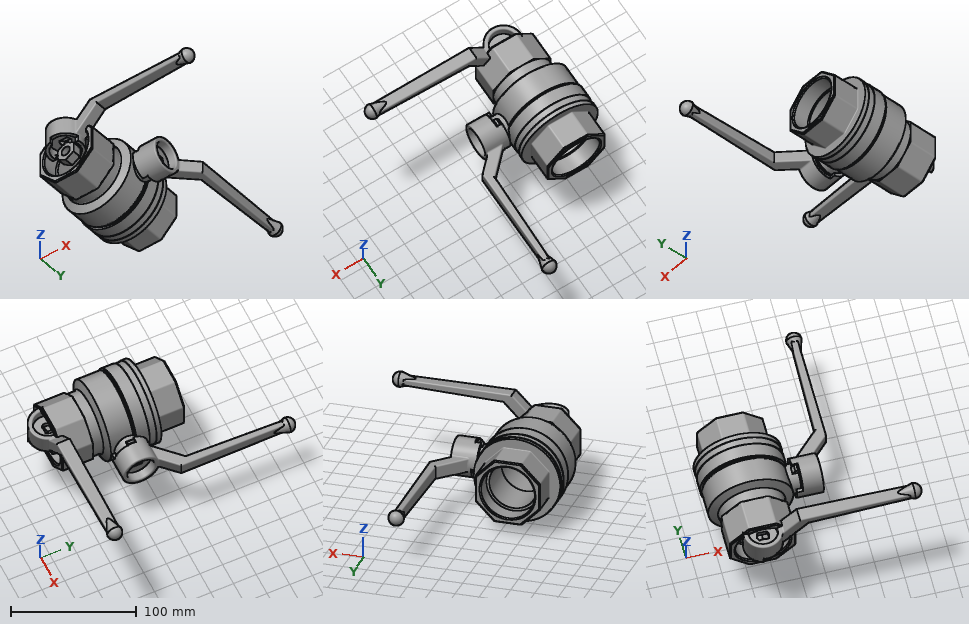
import cadquery as cq
import math


half_length = 54.0
octagon_width = 54.0
octagon_corner_radius = 2.4
octagon_end_chamfer = 1.0
root_radius = 0.8
bore_dia = 40.0
thread_dia = 44.8
thread_depth = 15.0
thread_mouth_dia = 47.0
barrel_dia = 70.0
flange_dia = 72.0
flange_waist_dia = 71.0
joint_groove_dia = 68.0

body_octagon_end = -26.8
cone_start = -18.0
cone_end = -14.8
groove_start = 5.8
joint_plane = 6.8
groove_end = 7.5
waist_start = 19.0
waist_end = 25.0
flange_end = 29.2

neck_dia = 24.0
neck_root = 24.0
neck_end = 42.2
tab_start = 37.2
tab_slope_end = 39.5
tab_end = 42.0
tab_width = 6.0
tab_height = 15.2

spindle_shoulder_dia = 22.0
spindle_end_dia = 10.0
spindle_end_flats = 6.8

hub_dia = 32.0
hub_height = 22.0
hub_edge_radius = 1.0
hub_seat = 38.0
neck_recess_dia = 26.0
neck_recess_depth = 10.0
nut_recess_dia = 24.0
nut_recess_depth = 8.0
nut_recess_edge_radius = 1.2
stop_notch_depth = 5.0
stop_notch_inset = 3.4
arm_root_width = 12.0
arm_tip_width = 10.0
arm_edge_radius = 1.2
arm_foot_radius = 1.5
arm_top = 35.0
arm_root_low = 7.4
arm_elbow_low = 27.5
arm_tip_low = 29.5
knob_radius = 6.4
knob_reach = 123.5
knob_height = 32.5
knob_cone_length = 12.8
knob_cone_tip_radius = 2.4

nut_width = 16.0
nut_hole_dia = 8.4
nut_thickness = 8.4


def y_cylinder(diameter, start, end):
    """Round bar on the valve axis between two places along Y."""
    plane = cq.Plane(origin=(0, start, 0), xDir=(1, 0, 0), normal=(0, 1, 0))
    return cq.Workplane(plane).circle(diameter / 2).extrude(end - start)


def octagon_end(length):
    """Octagonal pipe end that runs from y = -half_length towards the middle, edges broken."""
    plane = cq.Plane(origin=(0, -half_length, 0), xDir=(1, 0, 0), normal=(0, 1, 0))
    half_face_angle = 360 / 16
    across_corners = octagon_width / math.cos(math.pi / 8)
    return (
        cq.Workplane(plane)
        .polygon(8, across_corners)
        .extrude(length)
        .rotate((0, 0, 0), (0, 1, 0), half_face_angle)
        .edges("|Y")
        .fillet(octagon_corner_radius)
        .faces("<Y")
        .chamfer(octagon_end_chamfer)
    )


def pipe_bore():
    """Bore through the whole valve with a thread bore and a flared mouth at each end."""
    mouth_depth = (thread_mouth_dia - thread_dia) / 2
    shoulder = half_length - thread_depth
    profile = [
        (0, -half_length),
        (thread_mouth_dia / 2, -half_length),
        (thread_dia / 2, -half_length + mouth_depth),
        (thread_dia / 2, -shoulder),
        (bore_dia / 2, -shoulder),
        (bore_dia / 2, 0),
        (0, 0),
    ]
    half = cq.Workplane("XY").polyline(profile).close().revolve(360, (0, 0, 0), (0, 1, 0))
    return half.union(half.mirror("XZ"))


def neck():
    """Neck round the spindle with the tab that stops the lever."""
    stub = cq.Workplane("YZ").workplane(offset=neck_root).circle(neck_dia / 2).extrude(neck_end - neck_root)
    tab_profile = [
        (tab_start, 0),
        (tab_start, neck_dia / 2),
        (tab_slope_end, tab_height),
        (tab_end, tab_height),
        (tab_end, 0),
    ]
    tab = cq.Workplane("XZ").polyline(tab_profile).close().extrude(tab_width / 2, both=True)
    return stub.union(tab)


def valve_body():
    """Turned barrel with its octagonal pipe end and spindle neck, bored and seated for the adapter."""
    collar_radius = octagon_width / 2
    arc_sag = root_radius * (1 - math.sqrt(0.5))
    barrel = (
        cq.Workplane("XY")
        .moveTo(0, body_octagon_end)
        .lineTo(collar_radius, body_octagon_end)
        .lineTo(collar_radius, cone_start - root_radius)
        .threePointArc(
            (collar_radius + arc_sag, cone_start - arc_sag),
            (collar_radius + root_radius, cone_start),
        )
        .lineTo(barrel_dia / 2, cone_end)
        .lineTo(barrel_dia / 2, groove_start)
        .lineTo(joint_groove_dia / 2, groove_start)
        .lineTo(joint_groove_dia / 2, joint_plane)
        .lineTo(0, joint_plane)
        .close()
        .revolve(360, (0, 0, 0), (0, 1, 0))
    )
    end = octagon_end(half_length + body_octagon_end)
    return barrel.union(end).union(neck()).cut(adapter_blank()).cut(pipe_bore())


def adapter_blank():
    """Solid end adapter: a waisted flange against the barrel and the second octagonal pipe end."""
    flange = y_cylinder(joint_groove_dia, joint_plane, groove_end)
    for diameter, start, end in (
        (flange_dia, groove_end, waist_start),
        (flange_waist_dia, waist_start, waist_end),
        (flange_dia, waist_end, flange_end),
    ):
        flange = flange.union(y_cylinder(diameter, start, end))
    blank = flange.union(octagon_end(half_length - flange_end).mirror("XZ"))
    reach = octagon_width
    near, far = flange_end - root_radius / 2, flange_end + root_radius / 2
    flange_face = cq.selectors.BoxSelector((-reach, near, -reach), (reach, far, reach))
    flange_rim = cq.selectors.BoxSelector((-2, near, -2), (2, far, 2))
    return blank.edges(flange_face - flange_rim).fillet(root_radius)


def end_adapter():
    """End adapter with its share of the pipe bore."""
    return adapter_blank().cut(pipe_bore())


def lever_arm():
    """Cranked arm along local X, tapered towards the knob, with rounded long edges."""
    hub_radius = hub_dia / 2
    elbow_top = hub_radius + arm_top - hub_height
    elbow_low = hub_radius + arm_elbow_low - arm_root_low
    overlap = 3.0
    start = hub_radius - overlap
    side_profile = [
        (start, hub_height - overlap),
        (elbow_top, arm_top),
        (knob_reach, arm_top),
        (knob_reach, arm_tip_low),
        (elbow_low, arm_elbow_low),
        (start, arm_root_low - overlap),
    ]
    plan = [
        (start, -arm_root_width / 2),
        (knob_reach, -arm_tip_width / 2),
        (knob_reach, arm_tip_width / 2),
        (start, arm_root_width / 2),
    ]
    side = cq.Workplane("XZ").polyline(side_profile).close().extrude(arm_root_width / 2, both=True)
    arm = side.intersect(cq.Workplane("XY").polyline(plan).close().extrude(arm_top))
    return arm.faces("<Y or >Y").edges("not(<X or >X)").fillet(arm_edge_radius)


def knob():
    """Half ball with a cone that narrows into the arm, turned about local X."""
    profile = (
        cq.Workplane("XY")
        .lineTo(knob_radius, 0)
        .threePointArc((knob_radius * math.sqrt(0.5), knob_radius * math.sqrt(0.5)), (0, knob_radius))
        .lineTo(-knob_cone_length, knob_cone_tip_radius)
        .lineTo(-knob_cone_length, 0)
        .close()
    )
    return profile.revolve(360, (0, 0, 0), (1, 0, 0)).translate((knob_reach, 0, knob_height))


def spindle_end():
    """Round end with two flats that fills the hole through the hub web, in the lever's local axes."""
    web = hub_height - nut_recess_depth - neck_recess_depth
    plane = cq.Workplane("XY").workplane(offset=neck_recess_depth)
    flats = plane.rect(spindle_end_dia, spindle_end_flats).extrude(web)
    return plane.circle(spindle_end_dia / 2).extrude(web).intersect(flats)


def spindle():
    """Spindle in the mounted lever's local axes: a shoulder on the neck and an end with flats."""
    start = neck_end - hub_seat
    shoulder = (
        cq.Workplane("XY")
        .workplane(offset=start)
        .circle(spindle_shoulder_dia / 2)
        .extrude(neck_recess_depth - start)
    )
    return shoulder.union(spindle_end())


def lever():
    """Lever with its hub on local Z, open rim at z = 0, and the arm towards local +X."""
    hub_radius = hub_dia / 2
    hub = cq.Workplane("XY").circle(hub_radius).extrude(hub_height).faces(">Z").fillet(hub_edge_radius)
    body = hub.union(lever_arm())
    arm_foot = cq.selectors.BoxSelector(
        (0, -arm_root_width, 0), (hub_radius, arm_root_width, hub_height))
    body = body.edges(arm_foot).edges("|Z").fillet(arm_foot_radius).union(knob())
    neck_recess = cq.Workplane("XY").circle(neck_recess_dia / 2).extrude(neck_recess_depth)
    nut_recess = (
        cq.Workplane("XY").workplane(offset=hub_height).circle(nut_recess_dia / 2).extrude(-nut_recess_depth)
    )
    body = body.cut(neck_recess).cut(nut_recess)
    reach = nut_recess_dia / 2
    mouth = cq.selectors.BoxSelector(
        (-reach, -reach, hub_height - nut_recess_edge_radius),
        (reach, reach, hub_height + nut_recess_edge_radius),
    )
    body = body.edges(mouth).edges(cq.selectors.RadiusNthSelector(0)).fillet(nut_recess_edge_radius)
    body = body.cut(spindle_end())
    notch = (
        cq.Workplane("XY")
        .box(hub_dia, hub_dia, stop_notch_depth, centered=False)
        .translate((-stop_notch_inset, -stop_notch_inset - hub_dia, 0))
    )
    for turn in (0, 180):
        body = body.cut(notch.rotate((0, 0, 0), (0, 0, 1), turn))
    return body


def hexagon_nut():
    """Nut on the valve axis, its outer face flush with the mouth of the valve body."""
    plane = cq.Plane(origin=(0, -half_length, 0), xDir=(1, 0, 0), normal=(0, 1, 0))
    corner_dia = nut_width / math.cos(math.pi / 6)
    return (
        cq.Workplane(plane)
        .polygon(6, corner_dia)
        .circle(nut_hole_dia / 2)
        .extrude(nut_thickness)
        .rotate((0, 0, 0), (0, 1, 0), 30)
    )


mounted = cq.Location(cq.Plane(origin=(hub_seat, 0, 0), xDir=(0, 1, 0), normal=(1, 0, 0)))
loose = cq.Location(cq.Plane(origin=(0, -half_length, 0), xDir=(1, 0, 0), normal=(0, 0, 1)))
mounted_lever, loose_lever = [lever().val().located(place) for place in (mounted, loose)]

housing = valve_body().cut(cq.Workplane(loose_lever))

result = cq.Compound.makeCompound([
    housing.val(),
    end_adapter().val(),
    spindle().val().located(mounted),
    mounted_lever,
    loose_lever,
    hexagon_nut().val(),
])